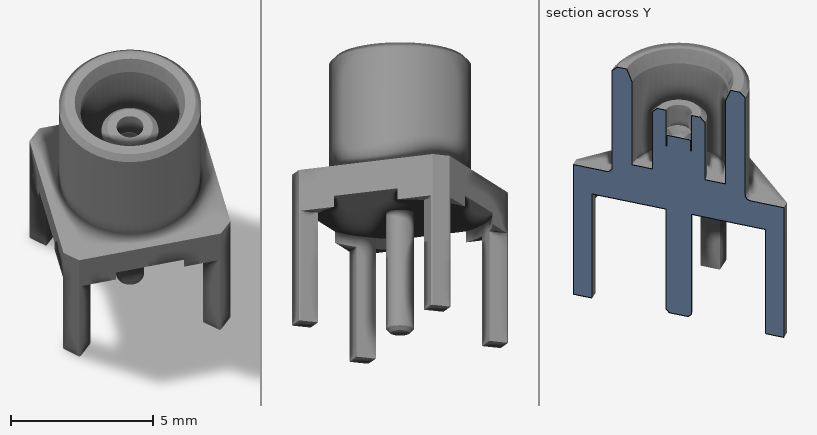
import cadquery as cq
import math

total_height = 10.0
base_width = 7.88
corner_flat = 0.64
base_bottom = 4.0
base_top = 5.5
recess_diameter = 6.5
recess_depth = 0.4

leg_width = 0.72
leg_depth = 0.71

barrel_radius = 2.5
barrel_edge_chamfer = 0.2
barrel_root_fillet = 0.2
bore_radius = 1.74
mouth_radius = 1.94
mouth_depth = 0.5
bore_floor = 6.0

post_radius = 1.0
post_top = 8.6
post_chamfer = 0.2
well_radius = 0.47
well_depth = 1.5
tine_radius = 0.46
tine_recess = 0.8
tine_shift = 0.08
funnel_top_radius = 0.42
funnel_bottom_radius = 0.24
funnel_depth = 0.25
tine_slit = 0.06

pin_radius = 0.49
pin_bottom = 0.05
pin_chamfer = 0.14


def cylinder(radius, bottom, top, y=0):
    return cq.Workplane("XY", origin=(0, y, bottom)).circle(radius).extrude(top - bottom)


def base_prism(bottom, top):
    """Square with cut-off corners between two heights."""
    half_side = (base_width + corner_flat) / 2 / math.sqrt(2)
    square = (
        cq.Workplane("XY", origin=(0, 0, bottom))
        .transformed(rotate=(0, 0, 45))
        .rect(2 * half_side, 2 * half_side)
        .extrude(top - bottom)
    )
    limits = cq.Workplane("XY", origin=(0, 0, bottom)).rect(base_width, base_width).extrude(top - bottom)
    return square.intersect(limits)


def make_base():
    recess = cylinder(recess_diameter / 2, base_bottom, base_bottom + recess_depth)
    return base_prism(base_bottom, base_top).cut(recess)


def make_legs():
    """Four legs whose outer faces follow the base outline."""
    leg_centre = (base_width - leg_depth) / 2
    blocks = (
        cq.Workplane("XY")
        .polarArray(leg_centre, 0, 360, 4)
        .rect(leg_depth, leg_width)
        .extrude(base_bottom + recess_depth)
    )
    return blocks.intersect(base_prism(0, base_bottom + recess_depth))


def make_barrel():
    """Hollow barrel with a filleted root and a conical mouth."""
    root_radius = barrel_radius + barrel_root_fillet
    root_top = base_top + barrel_root_fillet
    mid_offset = barrel_root_fillet * (1 - math.sqrt(0.5))
    return (
        cq.Workplane("XZ")
        .moveTo(0, base_top)
        .lineTo(root_radius, base_top)
        .threePointArc((barrel_radius + mid_offset, base_top + mid_offset), (barrel_radius, root_top))
        .lineTo(barrel_radius, total_height - barrel_edge_chamfer)
        .lineTo(barrel_radius - barrel_edge_chamfer, total_height)
        .lineTo(mouth_radius, total_height)
        .lineTo(bore_radius, total_height - mouth_depth)
        .lineTo(bore_radius, bore_floor)
        .lineTo(0, bore_floor)
        .close()
        .revolve(360, (0, 0, 0), (0, 1, 0))
    )


def funnel(top, y):
    cone = cq.Solid.makeCone(
        funnel_bottom_radius, funnel_top_radius, funnel_depth, cq.Vector(0, y, top - funnel_depth)
    )
    return cq.Workplane(cone)


def make_contact():
    """Two tines pinched together along Y, with a funnel-shaped entry."""
    top = post_top - tine_recess
    bottom = post_top - well_depth
    entry_bottom = top - funnel_depth
    tines = cylinder(tine_radius, bottom, top, tine_shift).intersect(
        cylinder(tine_radius, bottom, top, -tine_shift)
    )
    entry = funnel(top, tine_shift).intersect(funnel(top, -tine_shift))
    slit = cq.Workplane("XY", origin=(0, 0, entry_bottom)).rect(2 * tine_radius, tine_slit).extrude(funnel_depth)
    return tines.cut(entry).cut(slit)


def make_post():
    post = cylinder(post_radius, bore_floor, post_top).faces(">Z").chamfer(post_chamfer)
    well = cylinder(well_radius, post_top - well_depth, post_top)
    return post.cut(well).union(make_contact())


def make_pin():
    pin = cylinder(pin_radius, pin_bottom, base_top)
    return pin.faces("<Z").chamfer(pin_chamfer)


result = make_base().union(make_legs()).union(make_barrel()).union(make_post()).union(make_pin())